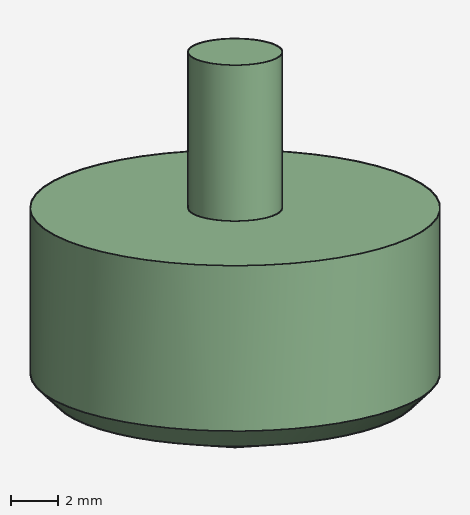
import cadquery as cq

total_height = 17.5
body_diameter = 17.4
stem_diameter = 4.0
stem_length = 6.9
tip_height = 2.35
bevel_height = 0.95
bevel_width = 0.95

body_radius = body_diameter / 2
stem_radius = stem_diameter / 2
cone_radius = body_radius - bevel_width
bevel_top = tip_height + bevel_height
body_top = total_height - stem_length

half_profile = (
    cq.Workplane("XZ")
    .moveTo(0, 0)
    .lineTo(cone_radius, tip_height)
    .lineTo(body_radius, bevel_top)
    .lineTo(body_radius, body_top)
    .lineTo(stem_radius, body_top)
    .lineTo(stem_radius, total_height)
    .lineTo(0, total_height)
    .close()
)

result = half_profile.revolve(360, (0, 0, 0), (0, 1, 0))